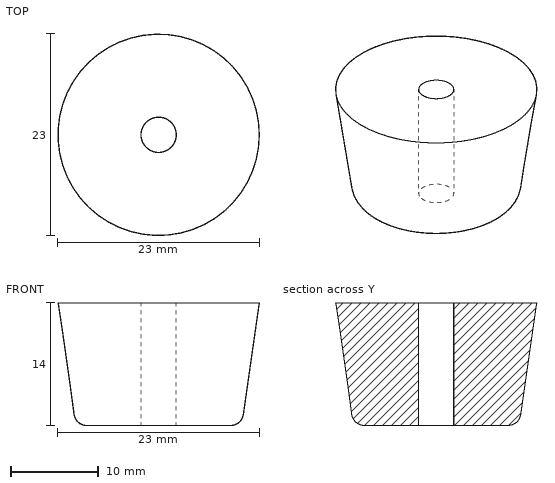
import cadquery as cq

TOP_DIAMETER = 23.0
BASE_DIAMETER = 19.0
HEIGHT = 14.0
BORE_DIAMETER = 4.0
BASE_ROUNDING = 1.5


def make_foot():
    """Round foot that narrows towards a rounded base, with a bore along its axis."""
    cone = cq.Solid.makeCone(BASE_DIAMETER / 2, TOP_DIAMETER / 2, HEIGHT)
    rounded = cq.Workplane(cone).faces("<Z").edges().fillet(BASE_ROUNDING)
    return rounded.faces(">Z").workplane(origin=(0, 0, HEIGHT)).hole(BORE_DIAMETER)


foot = make_foot()
result = cq.Compound.makeCompound([foot.val()])